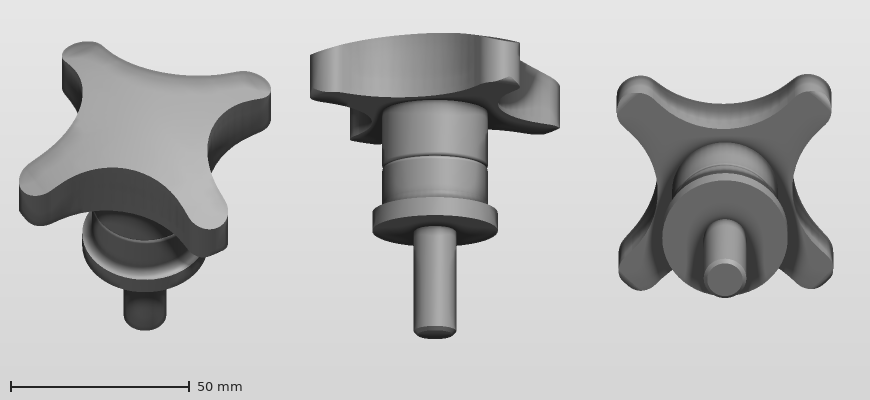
import cadquery as cq
import math

total_height = 84.0
flange_bottom = 30.0
flange_top = 35.2
groove_middle = 48.05
head_bottom = 64.0
rim_top = 75.8

head_radius = 40.0
arm_half_width = 6.0
valley_radius = 25.0
rim_fillet = 1.85
dome_rise = total_height - rim_top
dome_radius = (head_radius**2 + dome_rise**2) / (2 * dome_rise)

hub_radius = 14.8
groove_half_width = 0.9
groove_lip_radius = 1.0
flare_radius = 2.8
flange_radius = hub_radius + flare_radius
stud_radius = 6.0
stud_chamfer = 1.0
neck_chamfer = 0.4


def make_head():
    """Four-armed star with a domed top and a rounded lower rim."""
    depth = total_height - head_bottom
    valley_center = arm_half_width + valley_radius

    star = cq.Workplane("XY").rect(2 * valley_center, 2 * valley_center).extrude(depth)
    corner_spots = [(x * valley_center, y * valley_center) for x in (-1, 1) for y in (-1, 1)]
    star = star.cut(cq.Workplane("XY").pushPoints(corner_spots).circle(valley_radius).extrude(depth))
    for angle in (0, 90):
        arm = cq.Workplane("XY").slot2D(2 * head_radius, 2 * arm_half_width, angle).extrude(depth)
        star = star.union(arm)
    star = star.translate((0, 0, head_bottom))

    dome_half_angle = math.asin(head_radius / dome_radius) / 2
    dome_middle = (
        dome_radius * math.sin(dome_half_angle),
        total_height - dome_radius * (1 - math.cos(dome_half_angle)),
    )
    envelope = (
        cq.Workplane("XZ")
        .moveTo(0, head_bottom)
        .lineTo(head_radius - rim_fillet, head_bottom)
        .radiusArc((head_radius, head_bottom + rim_fillet), -rim_fillet)
        .lineTo(head_radius, rim_top)
        .threePointArc(dome_middle, (0, total_height))
        .close()
        .revolve(360, (0, 0), (0, 1))
    )
    return star.intersect(envelope)


def make_hub_and_stud():
    """Grooved hub with a concave flare onto a flange, above a plain stud."""
    groove_depth = groove_lip_radius - math.sqrt(groove_lip_radius**2 - groove_half_width**2)
    groove_floor = (hub_radius - groove_depth, groove_middle)
    profile = (
        cq.Workplane("XZ")
        .lineTo(stud_radius - stud_chamfer, 0)
        .lineTo(stud_radius, stud_chamfer)
        .lineTo(stud_radius, flange_bottom - neck_chamfer)
        .lineTo(stud_radius - neck_chamfer, flange_bottom)
        .lineTo(flange_radius, flange_bottom)
        .lineTo(flange_radius, flange_top)
        .radiusArc((hub_radius, flange_top + flare_radius), flare_radius)
        .lineTo(hub_radius, groove_middle - groove_half_width)
        .radiusArc(groove_floor, -groove_lip_radius)
        .radiusArc((hub_radius, groove_middle + groove_half_width), -groove_lip_radius)
        .lineTo(hub_radius, head_bottom)
        .lineTo(0, head_bottom)
        .close()
    )
    return profile.revolve(360, (0, 0), (0, 1))


result = make_head().union(make_hub_and_stud())